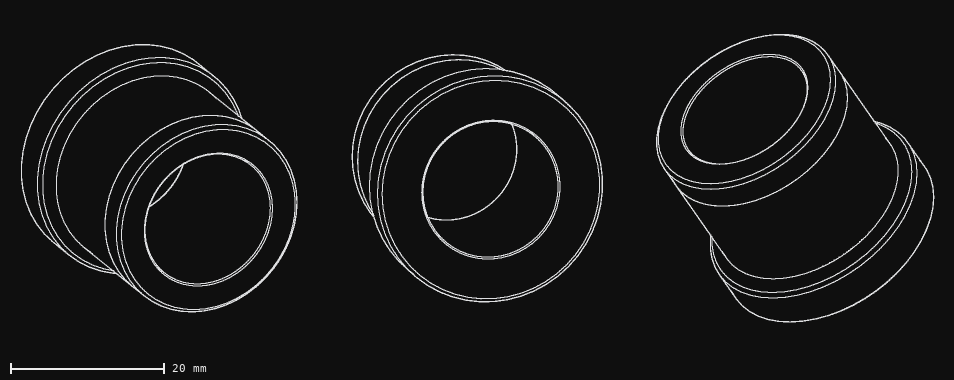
import cadquery as cq

length = 26.0
flange_radius = 30.0 / 2
flange_length = 6.0
body_radius = 26.0 / 2
bore_radius = 18.0 / 2
edge_chamfer = 0.5
bore_chamfer = 0.2

groove_radius = 1.0 / 2

lead_length = 4.0
lead_radius = body_radius - 0.015

groove_center = flange_length + groove_radius
body_start = flange_length + 2 * groove_radius
lead_start = length - lead_length

section = (
    cq.Workplane("XY")
    .moveTo(0, bore_radius + bore_chamfer)
    .lineTo(0, flange_radius - edge_chamfer)
    .lineTo(edge_chamfer, flange_radius)
    .lineTo(flange_length - edge_chamfer, flange_radius)
    .lineTo(flange_length, flange_radius - edge_chamfer)
    .lineTo(flange_length, body_radius)
    .threePointArc((groove_center, body_radius - groove_radius), (body_start, body_radius))
    .lineTo(lead_start, body_radius)
    .lineTo(lead_start, lead_radius)
    .lineTo(length - edge_chamfer, lead_radius)
    .lineTo(length, lead_radius - edge_chamfer)
    .lineTo(length, bore_radius + bore_chamfer)
    .lineTo(length - bore_chamfer, bore_radius)
    .lineTo(bore_chamfer, bore_radius)
    .close()
)

result = section.revolve(360, (0, 0, 0), (1, 0, 0))